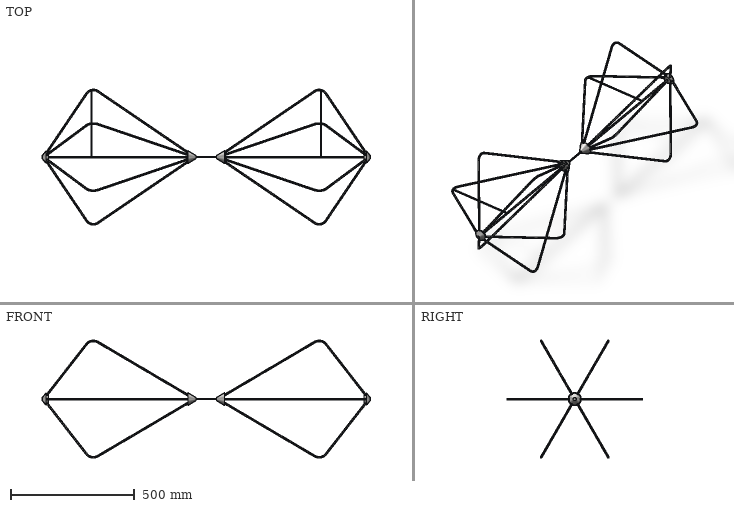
import cadquery as cq
import math


half_length = 664.0
feed_cone_tip_x = 41.0
feed_cone_base_x = 75.0
hub_inner_x = 637.0
hub_rim_x = 649.0
strut_x = 465.0

feed_cone_tip_radius = 6.4
feed_cone_base_radius = 27.0
hub_tip_radius = 6.4
hub_rim_radius = 24.0
hub_inner_radius = 16.0

rod_diameter = 6.4
thin_diameter = 5.0
cage_width = 550.0
rod_count = 6

bend_radius = 33.0
bend_x = 457.0
inner_slope = math.radians(34.2)
outer_slope = math.radians(56.0)
outer_end_x = 650.0

bend_crest = cage_width / 2 - rod_diameter / 2
bend_center_y = bend_crest - bend_radius


def revolve_about_x(outline):
    return cq.Workplane("XY").polyline(outline).close().revolve(360, (0, 0, 0), (1, 0, 0))


def make_feed_cone():
    return revolve_about_x([
        (feed_cone_tip_x, 0),
        (feed_cone_tip_x, feed_cone_tip_radius),
        (feed_cone_base_x, feed_cone_base_radius),
        (feed_cone_base_x, 0),
    ])


def make_end_hub():
    return revolve_about_x([
        (hub_inner_x, 0),
        (hub_inner_x, hub_inner_radius),
        (hub_rim_x, hub_rim_radius),
        (half_length, hub_tip_radius),
        (half_length, 0),
    ])


def make_axial_rod(diameter, start_x, end_x):
    return cq.Workplane("YZ", origin=(start_x, 0, 0)).circle(diameter / 2).extrude(end_x - start_x)


def make_cage_rod():
    """Bent rod in the XY plane, from inside the feed cone out to the end hub."""
    inner_tangent = (
        bend_x - bend_radius * math.sin(inner_slope),
        bend_center_y + bend_radius * math.cos(inner_slope),
    )
    outer_tangent = (
        bend_x + bend_radius * math.sin(outer_slope),
        bend_center_y + bend_radius * math.cos(outer_slope),
    )
    inner_start_x = (feed_cone_tip_x + feed_cone_base_x) / 2
    inner_start_y = inner_tangent[1] - (inner_tangent[0] - inner_start_x) * math.tan(inner_slope)
    outer_end_y = outer_tangent[1] - (outer_end_x - outer_tangent[0]) * math.tan(outer_slope)

    path = (
        cq.Workplane("XY")
        .moveTo(inner_start_x, inner_start_y)
        .lineTo(*inner_tangent)
        .threePointArc((bend_x, bend_crest), outer_tangent)
        .lineTo(outer_end_x, outer_end_y)
    )
    start_plane = cq.Plane(
        origin=(inner_start_x, inner_start_y, 0),
        xDir=(0, 0, 1),
        normal=(math.cos(inner_slope), math.sin(inner_slope), 0),
    )
    return cq.Workplane(start_plane).circle(rod_diameter / 2).sweep(path)


def make_strut():
    """Thin cross wire from the centre rod to the +Y cage rod."""
    return (
        cq.Workplane("XZ", origin=(strut_x, 0, 0))
        .circle(thin_diameter / 2)
        .extrude(-bend_crest)
    )


def make_cage_half():
    half = make_feed_cone().union(make_end_hub())
    half = half.union(make_axial_rod(rod_diameter, feed_cone_base_x, hub_inner_x))
    half = half.union(make_axial_rod(thin_diameter, 0, feed_cone_tip_x))
    cage_rod = make_cage_rod()
    for index in range(rod_count):
        angle = index * 360 / rod_count
        half = half.union(cage_rod.rotate((0, 0, 0), (1, 0, 0), angle))
    return half.union(make_strut())


right_half = make_cage_half()
left_half = right_half.mirror("YZ")

result = cq.Compound.makeCompound([*right_half.solids().vals(), *left_half.solids().vals()])